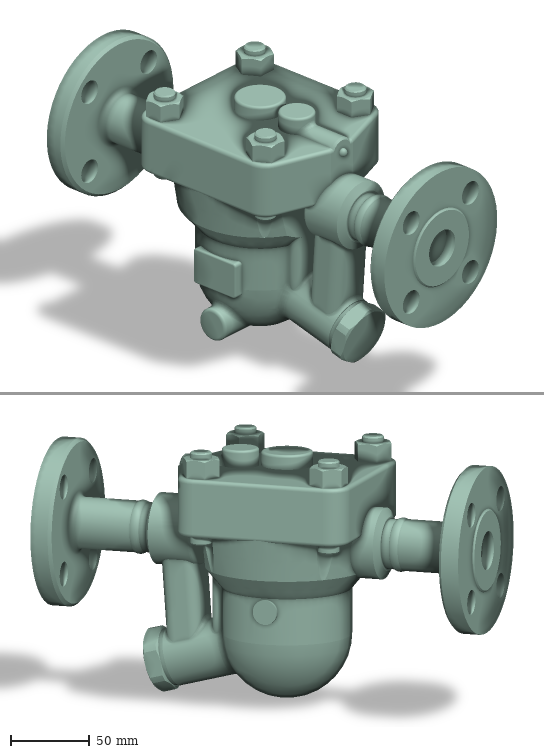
import cadquery as cq
import math


length = 291.0
pipe_middle_x = 10.2
flange_diameter = 108.0
flange_thickness = 13.7
flange_chamfer = 2.0
face_diameter = 53.5
face_height = 1.2
bolt_circle = 80.0
flange_hole_diameter = 16.0
flange_hole_count = 4
bore_diameter = 25.0
bore_depth = 7.5
pipe_diameter = 33.2
hub_radius = 3.8
neck_diameter = 32.0
bead_diameter = 34.5
bead_width = 6.0
neck_length = 5.2
boss_diameter = 46.0
boss_cone_length = 3.2
boss_cone_diameter = 35.0
boss_end = 76.0
outlet_boss_start_x = 57.0
outlet_boss_rounding = 2.3

stud_offset = 43.0
stud_count = 4
lid_width = 115.0
lid_corner_radius = 13.5
lid_bottom_z = 7.0
lid_top_z = 44.8
lid_tip_x = 70.0
lid_tip_half_width = 10.5
lid_rounding = 2.5
nut_corner_diameter = 25.0
nut_height = 12.0
bevel_angle = 30.0
stud_diameter = 14.0
stud_top_z = 60.8
stud_bottom_z = 1.0
stud_chamfer = 1.0
lid_boss_x = 31.5
lid_boss_diameter = 24.0
lid_boss_top_z = 56.2
lid_boss_rounding = 1.7
channel_radius = 10.0
channel_z = 39.5
channel_chamfer = 1.5
channel_joint_radius = 3.0
nub_radius = 3.0
nub_reach = 3.5

disc_diameter = 33.2
disc_bottom_z = 46.9

bowl_radius = 41.5
bowl_centre_z = -62.3
shoulder_bottom_z = -32.3
shoulder_z = -18.5
shoulder_radius = 53.0
collar_top_radius = 57.3
outlet_flat_x = 46.12
rib_half_width = 16.0
rib_rounding = 4.7
rib_bottom_z = -69.8
rib_joint_radius = 2.3
stud_clearance_diameter = 16.0
plate_width = 36.0
plate_height = 24.7
plate_centre_z = -54.7
plate_reach = 44.0
plate_corner_radius = 2.3
plate_rounding = 1.2
rear_pad_diameter = 16.0
rear_pad_z = -41.0
rear_pad_reach = 43.6
drain_diameter = 22.0
drain_z = -90.8
drain_reach = 46.0
drain_rounding = 2.0
drain_joint_radius = 3.0

strainer_angle = 15.0
strainer_diameter = 38.0
strainer_length = 78.5
strainer_joint_radius = 5.8
gasket_diameter = 36.7
gasket_thickness = 3.0
cap_flats = 38.0
cap_round_diameter = 41.5
cap_thickness = 10.8
cap_turn = 30.0
column_angle = 4.0
column_width = 23.5
column_depth = 2 * rib_half_width
column_rounding = 7.0
column_bottom_z = -74.0
column_x = 70.5
column_joint_radius = 2.3

inlet_face_x = pipe_middle_x - length / 2
outlet_face_x = pipe_middle_x + length / 2
nut_flats = nut_corner_diameter * math.cos(math.radians(30))


def turned_hexagon(flats, round_diameter, height, both_ends):
    """Hexagonal prism on the XY plane, its corners turned round and bevelled at the top, or at both ends."""
    flat_radius = flats / 2
    round_radius = round_diameter / 2
    drop = (round_radius - flat_radius) * math.tan(math.radians(bevel_angle))
    if both_ends:
        envelope = [(0, 0), (flat_radius, 0), (round_radius, drop)]
    else:
        envelope = [(0, 0), (round_radius, 0)]
    envelope += [(round_radius, height - drop), (flat_radius, height), (0, height)]
    turned = cq.Workplane("XZ").polyline(envelope).close().revolve(360, (0, 0), (0, 1))
    corner_diameter = flats / math.cos(math.radians(30))
    return cq.Workplane("XY").polygon(6, corner_diameter).extrude(height).intersect(turned)


def fillet_inside(shape, low, high, radius):
    """Fillet the edges whose middle lies in the box between the corners `low` and `high`."""
    return shape.edges(cq.selectors.BoxSelector(low, high)).fillet(radius)


def make_pipe_end(boss_length):
    """Flange, pipe and boss turned about X, with the flange face at X = 0 and the boss at the far end."""
    boss_x = length / 2 - boss_end
    cone_x = boss_x - boss_cone_length
    bead_end_x = cone_x - neck_length
    bead_x = bead_end_x - bead_width
    flange_back_x = face_height + flange_thickness
    pipe_radius = pipe_diameter / 2
    arc_offset = hub_radius * (1 - math.sqrt(0.5))
    end = (
        cq.Workplane("XY")
        .moveTo(0, 0)
        .lineTo(0, face_diameter / 2 - face_height)
        .lineTo(face_height, face_diameter / 2)
        .lineTo(face_height, flange_diameter / 2)
        .lineTo(flange_back_x - flange_chamfer, flange_diameter / 2)
        .lineTo(flange_back_x, flange_diameter / 2 - flange_chamfer)
        .lineTo(flange_back_x, pipe_radius + hub_radius)
        .threePointArc(
            (flange_back_x + arc_offset, pipe_radius + arc_offset),
            (flange_back_x + hub_radius, pipe_radius),
        )
        .lineTo(bead_x, pipe_radius)
        .threePointArc((bead_x + bead_width / 2, bead_diameter / 2), (bead_end_x, neck_diameter / 2))
        .lineTo(cone_x, neck_diameter / 2)
        .lineTo(cone_x, boss_cone_diameter / 2)
        .lineTo(boss_x, boss_diameter / 2)
        .lineTo(boss_x + boss_length, boss_diameter / 2)
        .lineTo(boss_x + boss_length, 0)
        .close()
        .revolve(360, (0, 0), (1, 0))
    )
    bore = cq.Workplane("YZ").circle(bore_diameter / 2).extrude(bore_depth)
    holes = (
        cq.Workplane("YZ")
        .polarArray(bolt_circle / 2, 360 / flange_hole_count / 2, 360, flange_hole_count)
        .circle(flange_hole_diameter / 2)
        .extrude(flange_back_x)
    )
    return end.cut(bore).cut(holes)


def make_inlet():
    """Pipe end whose boss runs up to the bowl axis."""
    return make_pipe_end(boss_end - pipe_middle_x).translate((inlet_face_x, 0, 0))


def make_outlet():
    """Pipe end whose boss stops short of the bowl, with a rounded inner edge."""
    boss_length = pipe_middle_x + boss_end - outlet_boss_start_x
    end = make_pipe_end(boss_length).faces(">X").edges().fillet(outlet_boss_rounding)
    return end.rotate((0, 0, 0), (0, 0, 1), 180).translate((outlet_face_x, 0, 0))


def lid_outline():
    """Square with rounded corners, drawn out to a blunt tip on the outlet side."""
    side = lid_width / 2
    centre = side - lid_corner_radius
    diagonal = centre + lid_corner_radius * math.sqrt(0.5)
    reach_x = lid_tip_x - centre
    reach_y = centre - lid_tip_half_width
    tangent_angle = math.acos(lid_corner_radius / math.hypot(reach_x, reach_y)) - math.atan2(reach_y, reach_x)
    middle_angle = (tangent_angle + math.pi / 2) / 2

    def corner_point(angle, sign):
        x = centre + lid_corner_radius * math.cos(angle)
        y = centre + lid_corner_radius * math.sin(angle)
        return (x, sign * y)

    return (
        cq.Workplane("XY", origin=(0, 0, lid_bottom_z))
        .moveTo(-centre, -side)
        .lineTo(centre, -side)
        .threePointArc(corner_point(middle_angle, -1), corner_point(tangent_angle, -1))
        .lineTo(lid_tip_x, -lid_tip_half_width)
        .lineTo(lid_tip_x, lid_tip_half_width)
        .lineTo(*corner_point(tangent_angle, 1))
        .threePointArc(corner_point(middle_angle, 1), (centre, side))
        .lineTo(-centre, side)
        .threePointArc((-diagonal, diagonal), (-side, centre))
        .lineTo(-side, -centre)
        .threePointArc((-diagonal, -diagonal), (-centre, -side))
        .close()
    )


def make_lid():
    """Lid and body flange, with the boss and the half-round channel on top and a nub on the tip."""
    plate = lid_outline().extrude(lid_top_z - lid_bottom_z).faces("<Z or >Z").edges().fillet(lid_rounding)
    boss = (
        cq.Workplane("XY", origin=(lid_boss_x, 0, channel_z))
        .circle(lid_boss_diameter / 2)
        .extrude(lid_boss_top_z - channel_z)
    )
    channel = (
        cq.Workplane("YZ", origin=(lid_boss_x, 0, channel_z))
        .moveTo(-channel_radius, 0)
        .threePointArc((0, channel_radius), (channel_radius, 0))
        .close()
        .extrude(lid_tip_x - lid_boss_x)
        .faces(">X")
        .edges()
        .chamfer(channel_chamfer)
    )
    raised = fillet_inside(
        boss.union(channel),
        (lid_boss_x, -channel_radius, channel_z + channel_chamfer),
        (lid_boss_x + lid_boss_diameter, channel_radius, channel_z + channel_radius),
        channel_joint_radius,
    )
    raised = raised.faces(">Z").edges().fillet(lid_boss_rounding)
    nub = cq.Workplane("XY").sphere(nub_radius).translate((lid_tip_x + nub_reach - nub_radius, 0, channel_z))
    return plate.union(raised).union(nub)


def make_stud_and_nut():
    """Stud through the lid with a nut on top, standing on the bowl axis."""
    stud = (
        cq.Workplane("XY", origin=(0, 0, stud_bottom_z))
        .circle(stud_diameter / 2)
        .extrude(stud_top_z - stud_bottom_z)
        .faces("<Z or >Z")
        .edges()
        .chamfer(stud_chamfer)
    )
    nut = turned_hexagon(nut_flats, nut_corner_diameter, nut_height, False)
    return stud.union(nut.translate((0, 0, lid_top_z)))


def make_bowl():
    """Turned bowl with a round bottom, flattened towards the outlet and cut clear of the studs."""
    bowl = (
        cq.Workplane("XZ")
        .moveTo(0, bowl_centre_z - bowl_radius)
        .threePointArc(
            (bowl_radius * math.sqrt(0.5), bowl_centre_z - bowl_radius * math.sqrt(0.5)),
            (bowl_radius, bowl_centre_z),
        )
        .lineTo(bowl_radius, shoulder_bottom_z)
        .lineTo(shoulder_radius, shoulder_z)
        .lineTo(collar_top_radius, lid_bottom_z + lid_rounding)
        .lineTo(0, lid_bottom_z + lid_rounding)
        .close()
        .revolve(360, (0, 0), (0, 1))
    )
    beyond_flat = cq.Workplane("XY").box(length, length, length).translate((outlet_flat_x + length / 2, 0, 0))
    clearances = (
        cq.Workplane("XY", origin=(0, 0, shoulder_z))
        .rect(2 * stud_offset, 2 * stud_offset, forConstruction=True)
        .vertices()
        .circle(stud_clearance_diameter / 2)
        .extrude(lid_bottom_z - shoulder_z)
    )
    return bowl.cut(beyond_flat).cut(clearances)


def make_rib():
    """Upright rib between the flat of the bowl and the strainer pipe."""
    return (
        cq.Workplane("XY", origin=(outlet_flat_x / 2, 0, rib_bottom_z))
        .rect(outlet_flat_x, 2 * rib_half_width)
        .extrude(shoulder_z - rib_bottom_z)
        .edges("|Z and >X")
        .fillet(rib_rounding)
    )


def make_plate():
    """Raised rectangular plate on the side of the bowl, with rounded edges."""
    return (
        cq.Workplane("XZ", origin=(0, 0, plate_centre_z))
        .rect(plate_width, plate_height)
        .extrude(plate_reach)
        .edges("|Y")
        .fillet(plate_corner_radius)
        .faces("<Y")
        .edges()
        .fillet(plate_rounding)
    )


def make_rear_pad():
    """Low round pad on the side of the bowl opposite the plate."""
    pad = cq.Workplane("XZ", origin=(0, 0, rear_pad_z)).circle(rear_pad_diameter / 2)
    return pad.extrude(-rear_pad_reach)


def make_drain():
    """Round drain boss below the plate."""
    return (
        cq.Workplane("XZ", origin=(0, 0, drain_z))
        .circle(drain_diameter / 2)
        .extrude(drain_reach)
        .faces("<Y")
        .edges()
        .fillet(drain_rounding)
    )


def slope(shape):
    """Move a shape built along +Z onto the strainer axis, starting at the bowl centre."""
    return shape.rotate((0, 0, 0), (0, 1, 0), 90 + strainer_angle).translate((0, 0, bowl_centre_z))


def make_strainer_pipe():
    """Sloping pipe from the bowl centre."""
    return slope(cq.Workplane("XY").circle(strainer_diameter / 2).extrude(strainer_length))


def make_column():
    """Column with rounded corners that rises from the strainer pipe to the outlet boss."""
    return (
        cq.Workplane("XY", origin=(0, 0, column_bottom_z))
        .rect(column_width, column_depth)
        .extrude(-column_bottom_z)
        .edges("|Z")
        .fillet(column_rounding)
        .rotate((0, 0, 0), (0, 1, 0), column_angle)
        .translate((column_x, 0, 0))
    )


def make_cap():
    """Gasket and hexagonal cap on the end of the strainer pipe."""
    gasket = cq.Workplane("XY", origin=(0, 0, strainer_length)).circle(gasket_diameter / 2).extrude(gasket_thickness)
    hexagon = turned_hexagon(cap_flats, cap_round_diameter, cap_thickness, True)
    hexagon = hexagon.rotate((0, 0, 0), (0, 0, 1), 2 * cap_turn)
    return slope(gasket.union(hexagon.translate((0, 0, strainer_length + gasket_thickness))))


def make_vessel():
    """Bowl, strainer pipe, drain, rib and column, with a fillet at each joint."""
    strainer_radius = strainer_diameter / 2
    strainer_end_z = bowl_centre_z - strainer_length * math.sin(math.radians(strainer_angle)) - strainer_radius
    vessel = fillet_inside(
        make_bowl().union(make_strainer_pipe()),
        (bowl_radius - strainer_radius / 2, -strainer_radius, strainer_end_z),
        (outlet_flat_x, strainer_radius, bowl_centre_z + strainer_radius / 2),
        strainer_joint_radius,
    )
    drain_radius = drain_diameter / 2
    vessel = fillet_inside(
        vessel.union(make_drain()),
        (-drain_radius / 2, -bowl_radius, drain_z - drain_radius),
        (drain_radius / 2, -drain_radius, drain_z + drain_radius),
        drain_joint_radius,
    )
    vessel = fillet_inside(
        vessel.union(make_rib()),
        (outlet_flat_x - rib_rounding - rib_joint_radius, -strainer_radius, bowl_centre_z - rib_joint_radius / 2),
        (column_x - column_width / 2, strainer_radius, shoulder_bottom_z - rib_half_width),
        rib_joint_radius,
    )
    return fillet_inside(
        vessel.union(make_column()),
        (column_x - strainer_radius, -strainer_radius, column_bottom_z),
        (column_x + column_width / 2, strainer_radius, bowl_centre_z + column_rounding),
        column_joint_radius,
    )


def make_trap():
    """The whole trap as one solid."""
    trap = make_vessel().union(make_plate()).union(make_rear_pad()).union(make_cap())
    trap = trap.union(make_inlet()).union(make_outlet()).union(make_lid())
    stud = make_stud_and_nut().translate((stud_offset, stud_offset, 0))
    for index in range(stud_count):
        trap = trap.union(stud.rotate((0, 0, 0), (0, 0, 1), index * 360 / stud_count))
    return trap


def make_disc():
    """Loose disc on the bowl axis, level with the lid boss."""
    return (
        cq.Workplane("XY", origin=(0, 0, disc_bottom_z))
        .circle(disc_diameter / 2)
        .extrude(lid_boss_top_z - disc_bottom_z)
        .faces(">Z")
        .edges()
        .fillet(lid_boss_rounding)
    )


trap = make_trap()
disc = make_disc()
result = cq.Compound.makeCompound([trap.val(), disc.val()])